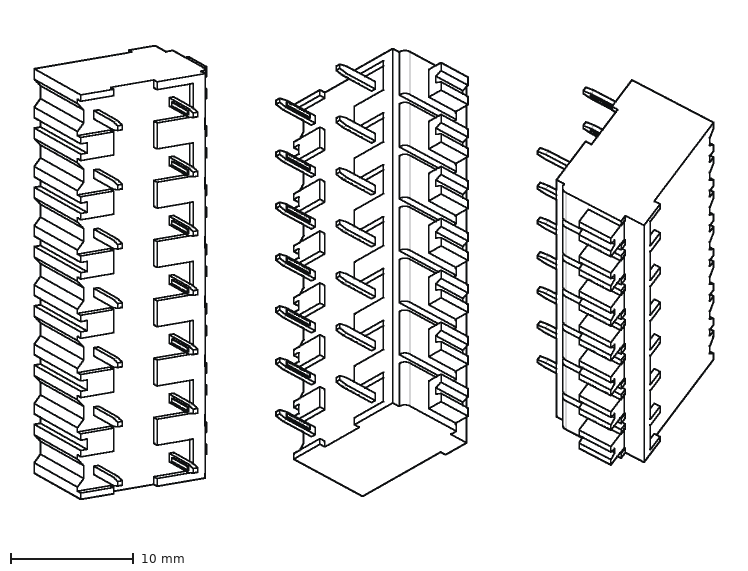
import cadquery as cq

pole_count = 7
pole_pitch = 5.08
cell_height = 4.2
gap_height = pole_pitch - cell_height
body_height = (pole_count - 1) * pole_pitch + cell_height
cell_bottoms = [pole * pole_pitch for pole in range(pole_count)]
gap_bottoms = [bottom + cell_height for bottom in cell_bottoms[:-1]]

wall_x = 0.56
body_end_x = 8.42
body_back_y = 11.57

flange_front_y = 10.6
tooth_front_y = 9.1
end_tooth_height = 0.65

foot_inner_x = 7.86
front_foot_back_y = 3.08
rear_foot_front_y = 7.1
front_pocket_height = 3.1
rear_pocket_height = 2.85

front_cut_depth = 0.58
groove_mouth_height = 2.4
groove_floor_height = 1.1

rib_start_x = 1.8
rib_end_x = 7.68
rib_back_y = 12.22
rib_corner_radius = 0.55

actuator_start_x = 1.88
actuator_end_x = 4.95
actuator_back_y = 13.65
actuator_height = 2.7
actuator_side_clearance = 0.07
notch_depth = 0.6
notch_mouth_height = 1.1
notch_floor_height = 0.6

pin_end_x = 11.9
pin_taper_length = 0.75
taper_start_x = pin_end_x - pin_taper_length
pin_width = 0.72
pin_tip_width = 0.4
pin_thickness = 0.43
front_pin_y = 1.73
rear_pin_y = 8.74

ridge_start_x = 8.5
ridge_end_x = taper_start_x
ridge_rise = 0.1
ridge_width = 0.35

rear_pocket_back_y = front_pin_y + rear_pin_y


def box(x_range, y_range, z_range):
    """Axis-aligned box between the given limits."""
    size = [high - low for low, high in (x_range, y_range, z_range)]
    corner = (x_range[0], y_range[0], z_range[0])
    return cq.Workplane("XY").box(*size, centered=False).translate(corner)


def centered_span(middle, length):
    return (middle - length / 2, middle + length / 2)


def trapezoid_bar(x_range, mouth_y, floor_y, middle_z, mouth_height, floor_height):
    """Bar along X whose YZ section narrows from the mouth to the floor."""
    outline = [
        (mouth_y, middle_z - mouth_height / 2),
        (floor_y, middle_z - floor_height / 2),
        (floor_y, middle_z + floor_height / 2),
        (mouth_y, middle_z + mouth_height / 2),
    ]
    start_x, end_x = x_range
    profile = cq.Workplane("YZ").workplane(offset=start_x).polyline(outline).close()
    return profile.extrude(end_x - start_x)


def make_housing():
    housing = box((wall_x, body_end_x), (0, body_back_y), (0, body_height))
    recess = box((foot_inner_x, body_end_x), (front_foot_back_y, rear_foot_front_y), (0, body_height))
    return housing.cut(recess)


def make_flange():
    flange = box((0, wall_x), (flange_front_y, body_back_y), (0, body_height))
    tooth_spans = [(bottom, bottom + gap_height) for bottom in gap_bottoms]
    tooth_spans.append((0, end_tooth_height))
    tooth_spans.append((body_height - end_tooth_height, body_height))
    for span in tooth_spans:
        flange = flange.union(box((0, wall_x), (tooth_front_y, flange_front_y), span))
    return flange


def make_front_slot(bottom):
    return box((wall_x, body_end_x), (0, front_cut_depth), (bottom, bottom + gap_height))


def make_front_groove(middle):
    x_range = (wall_x, body_end_x)
    return trapezoid_bar(x_range, 0, front_cut_depth, middle, groove_mouth_height, groove_floor_height)


def make_pin_pockets(middle):
    """Pockets of one pole, open at the +X end and towards the recess between the feet."""
    x_range = (foot_inner_x, body_end_x)
    front_span = centered_span(middle, front_pocket_height)
    rear_span = centered_span(middle, rear_pocket_height)
    front_pocket = box(x_range, (0, front_foot_back_y), front_span)
    rear_pocket = box(x_range, (rear_foot_front_y, rear_pocket_back_y), rear_span)
    return front_pocket.union(rear_pocket)


def make_rib(bottom):
    """Back rib with a rounded +X corner and a shallow clearance in front of the actuator."""
    rib = box((rib_start_x, rib_end_x), (body_back_y, rib_back_y), (bottom, bottom + cell_height))
    rib = rib.edges("|Z and >X and >Y").fillet(rib_corner_radius)
    clearance_height = actuator_height + 2 * actuator_side_clearance
    clearance_span = centered_span(bottom + cell_height / 2, clearance_height)
    clearance = box((rib_start_x, actuator_start_x), (body_back_y, rib_back_y), clearance_span)
    return rib.cut(clearance)


def make_actuator(middle):
    x_range = (actuator_start_x, actuator_end_x)
    block = box(x_range, (body_back_y, actuator_back_y), centered_span(middle, actuator_height))
    notch_floor_y = actuator_back_y - notch_depth
    notch = trapezoid_bar(
        x_range, actuator_back_y, notch_floor_y, middle, notch_mouth_height, notch_floor_height
    )
    return block.cut(notch)


def make_pin(center_y, inward, middle):
    """Flat pin rising from the pocket floor, with a tapered tip and a ridge on its inward side.

    The inward direction is +1 or -1 along Y and points to the other pin of the pole.
    """
    outline = [
        (foot_inner_x, middle - pin_width / 2),
        (taper_start_x, middle - pin_width / 2),
        (pin_end_x, middle - pin_tip_width / 2),
        (pin_end_x, middle + pin_tip_width / 2),
        (taper_start_x, middle + pin_width / 2),
        (foot_inner_x, middle + pin_width / 2),
    ]
    profile = cq.Workplane("XZ", origin=(0, center_y, 0)).polyline(outline).close()
    blade = profile.extrude(pin_thickness / 2, both=True)
    ridge_top_y = center_y + inward * (pin_thickness / 2 + ridge_rise)
    ridge_y_range = sorted((center_y, ridge_top_y))
    ridge = box((ridge_start_x, ridge_end_x), ridge_y_range, centered_span(middle, ridge_width))
    return blade.union(ridge)


result = make_housing().union(make_flange())

for gap_bottom in gap_bottoms:
    result = result.cut(make_front_slot(gap_bottom))

for cell_bottom in cell_bottoms:
    cell_middle = cell_bottom + cell_height / 2
    result = result.cut(make_front_groove(cell_middle))
    result = result.cut(make_pin_pockets(cell_middle))
    result = result.union(make_rib(cell_bottom))
    result = result.union(make_actuator(cell_middle))
    result = result.union(make_pin(front_pin_y, 1, cell_middle))
    result = result.union(make_pin(rear_pin_y, -1, cell_middle))